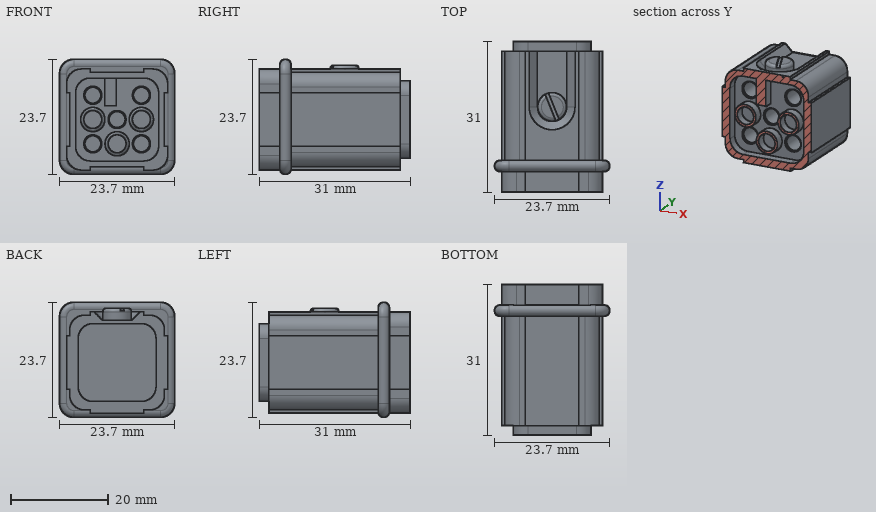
import cadquery as cq
import math

total_length = 31.0
boss_length = 1.98
body_length = total_length - boss_length

body_width = 20.77
body_corner = 3.0
panel_width = 10.95
step_depth = 0.65
boss_width = 16.0
boss_corner = 3.0

bead_width = 23.7
bead_corner = 2.98
bead_diameter = 2.35
bead_y = 5.4
bead_rise = 0.55
flange_thickness = 2.3

cavity_width = 17.05
cavity_corner = 3.0
cavity_depth = 13.98

contact_pitch = 5.0
hole_mouth_diameter = 3.7
hole_diameter = 3.3
hole_depth = 6.2
sleeve_diameter = 5.0
sleeve_bore_diameter = 3.7
sleeve_round = 0.4
sleeve_front_y = 9.98
hole_places = [(-1, 1), (1, 1), (0, 0), (-1, -1), (1, -1)]
sleeve_places = [(-1, 0), (1, 0), (0, -1)]

key_width = 2.35
key_height = 5.67
key_center_x = -1.33
key_front_y = 1.98

screw_y = 17.55
head_diameter = 5.9
head_flat_diameter = 4.5
head_rise = 0.78
pocket_depth = 1.7
pocket_floor_radius = 3.0
pocket_top_radius = pocket_floor_radius + pocket_depth
slot_width = 0.75
slot_depth = 0.5
slot_angle = 112.0

body_top = body_width / 2
cavity_top = cavity_width / 2
head_top = body_top + head_rise
pocket_floor = body_top - pocket_depth


def section_plane(y, z=0.0):
    """Plane across the part at the given y, with its normal toward +Y and local x along -X."""
    return cq.Plane(origin=(0, y, z), xDir=(-1, 0, 0), normal=(0, 1, 0))


def square_bar(width, corner, y_start, length, z=0.0):
    """Square bar along Y with rounded long edges."""
    bar = cq.Workplane(section_plane(y_start, z)).rect(width, width).extrude(length)
    return bar.edges("|Y").fillet(corner)


def cross_bars(width, y_start, length):
    """Two flat bars crossing each other, flush with the given outer width."""
    section = cq.Workplane(section_plane(y_start))
    upright = section.rect(panel_width, width).extrude(length)
    level = section.rect(width, panel_width).extrude(length)
    return upright.union(level)


def round_bar(diameter, place, y_start, length):
    """Round bar along Y at one place of the contact grid."""
    column, row = place
    center = (-column * contact_pitch, row * contact_pitch)
    return cq.Workplane(section_plane(y_start)).pushPoints([center]).circle(diameter / 2).extrude(length)


def make_front_section():
    """Full-size section ahead of the bead, notched in the middle of each side."""
    notched_width = body_width - 2 * step_depth
    bar = square_bar(body_width, body_corner, 0, bead_y)
    core = cross_bars(notched_width, 0, bead_y)
    around_notches = cross_bars(body_width, 0, bead_y)
    return bar.cut(around_notches).union(bar.intersect(core))


def make_rear_section():
    """Smaller section behind the bead with a raised panel on each side, and the end boss."""
    length = body_length - bead_y
    bar = square_bar(body_width - 2 * step_depth, body_corner, bead_y, length)
    panels = cross_bars(body_width, bead_y, length)
    boss = square_bar(boss_width, boss_corner, body_length, boss_length)
    return bar.union(panels).union(boss)


def make_bead():
    """Round-section ring following a rounded square, seated on a flat flange."""
    ring_width = bead_width - bead_diameter
    ring_corner = bead_corner - bead_diameter / 2
    flange = square_bar(
        ring_width, ring_corner, bead_y - flange_thickness / 2, flange_thickness, bead_rise
    )
    half = ring_width / 2
    straight = half - ring_corner
    diagonal = straight + ring_corner * math.sqrt(0.5)
    path = (
        cq.Workplane(section_plane(bead_y, bead_rise))
        .moveTo(0, half)
        .lineTo(straight, half)
        .threePointArc((diagonal, diagonal), (half, straight))
        .lineTo(half, -straight)
        .threePointArc((diagonal, -diagonal), (straight, -half))
        .lineTo(-straight, -half)
        .threePointArc((-diagonal, -diagonal), (-half, -straight))
        .lineTo(-half, straight)
        .threePointArc((-diagonal, diagonal), (-straight, half))
        .close()
    )
    ring = (
        cq.Workplane("YZ", origin=(0, bead_y, bead_rise + half))
        .circle(bead_diameter / 2)
        .sweep(path)
    )
    return flange.union(ring)


def make_key():
    """Coding key running along the cavity ceiling to its floor."""
    length = cavity_depth - key_front_y
    return cq.Workplane("XY").box(key_width, length, key_height, centered=(True, False, False)).translate(
        (key_center_x, key_front_y, cavity_top - key_height)
    )


def make_sleeve(place):
    """Contact sleeve standing on the cavity floor, rounded at its front rim."""
    length = cavity_depth - sleeve_front_y
    return round_bar(sleeve_diameter, place, sleeve_front_y, length).faces("<Y").edges().fillet(sleeve_round)


def make_contact_hole(place):
    """Blind hole in the cavity floor with a chamfered mouth."""
    lead_in = (hole_mouth_diameter - hole_diameter) / 2
    hole = round_bar(hole_diameter, place, cavity_depth, hole_depth)
    mouth = round_bar(hole_mouth_diameter, place, cavity_depth, 2 * lead_in)
    return hole.union(mouth.faces(">Y").edges().chamfer(lead_in))


def make_screw_pocket():
    """Sloped pocket in the top panel: conical front end, open at the rear."""
    cone = cq.Workplane(
        cq.Solid.makeCone(
            pocket_floor_radius, pocket_top_radius, pocket_depth, pnt=cq.Vector(0, screw_y, pocket_floor)
        )
    )
    trough = (
        cq.Workplane(section_plane(screw_y))
        .polyline(
            [
                (-pocket_floor_radius, pocket_floor),
                (pocket_floor_radius, pocket_floor),
                (pocket_top_radius, body_top),
                (-pocket_top_radius, body_top),
            ]
        )
        .close()
        .extrude(body_length - screw_y)
    )
    return cone.union(trough)


def make_screw_head():
    """Round-edged screw head with a driver slot."""
    edge_round = (head_diameter - head_flat_diameter) / 2
    head = (
        cq.Workplane("XY", origin=(0, screw_y, pocket_floor))
        .circle(head_diameter / 2)
        .extrude(head_top - pocket_floor)
        .faces(">Z")
        .edges()
        .fillet(edge_round)
    )
    slot = (
        cq.Workplane("XY", origin=(0, screw_y, head_top - slot_depth))
        .transformed(rotate=(0, 0, slot_angle))
        .rect(head_diameter, slot_width)
        .extrude(slot_depth)
    )
    return head.cut(slot)


result = make_front_section().union(make_rear_section()).union(make_bead())
result = result.cut(square_bar(cavity_width, cavity_corner, 0, cavity_depth))
result = result.union(make_key())

for sleeve_place in sleeve_places:
    sleeve_bore = round_bar(sleeve_bore_diameter, sleeve_place, sleeve_front_y, cavity_depth - sleeve_front_y)
    result = result.union(make_sleeve(sleeve_place)).cut(sleeve_bore)

for hole_place in hole_places:
    result = result.cut(make_contact_hole(hole_place))

result = result.cut(make_screw_pocket()).union(make_screw_head())